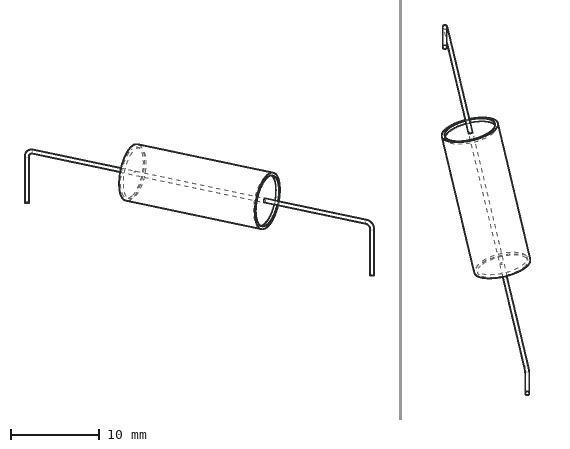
import cadquery as cq

SPAN = 43.7
HEIGHT = 9.75

HOUSING_DIAMETER = 6.5
HOUSING_LENGTH = 17.0
RECESS_DIAMETER = 5.85
RECESS_DEPTH = 0.35

LEAD_DIAMETER = 0.5
BEND_RADIUS = 0.75

LEG_X = (SPAN - LEAD_DIAMETER) / 2
BEND_START_X = LEG_X - BEND_RADIUS
TIP_Z = HOUSING_DIAMETER / 2 - HEIGHT


def x_cylinder(diameter, length, center_x=0):
    """Cylinder along the X axis, centred at center_x."""
    return (
        cq.Workplane("YZ", origin=(center_x - length / 2, 0, 0))
        .circle(diameter / 2)
        .extrude(length)
    )


def make_housing():
    """Cylinder with a shallow recess in each end and a bore for the lead."""
    housing = x_cylinder(HOUSING_DIAMETER, HOUSING_LENGTH)
    for side in (-1, 1):
        recess_x = side * (HOUSING_LENGTH - RECESS_DEPTH) / 2
        housing = housing.cut(x_cylinder(RECESS_DIAMETER, RECESS_DEPTH, recess_x))
    return housing.cut(x_cylinder(LEAD_DIAMETER, HOUSING_LENGTH))


def make_lead():
    """Round wire swept from one tip, over both bends, to the other tip."""
    path = (
        cq.Workplane("XZ")
        .moveTo(-LEG_X, TIP_Z)
        .lineTo(-LEG_X, -BEND_RADIUS)
        .tangentArcPoint((-BEND_START_X, 0), relative=False)
        .lineTo(BEND_START_X, 0)
        .tangentArcPoint((LEG_X, -BEND_RADIUS), relative=False)
        .lineTo(LEG_X, TIP_Z)
    )
    tip_section = cq.Workplane("XY", origin=(-LEG_X, 0, TIP_Z)).circle(LEAD_DIAMETER / 2)
    return tip_section.sweep(path)


housing = make_housing()
lead = make_lead()

result = cq.Compound.makeCompound([housing.val(), lead.val()])